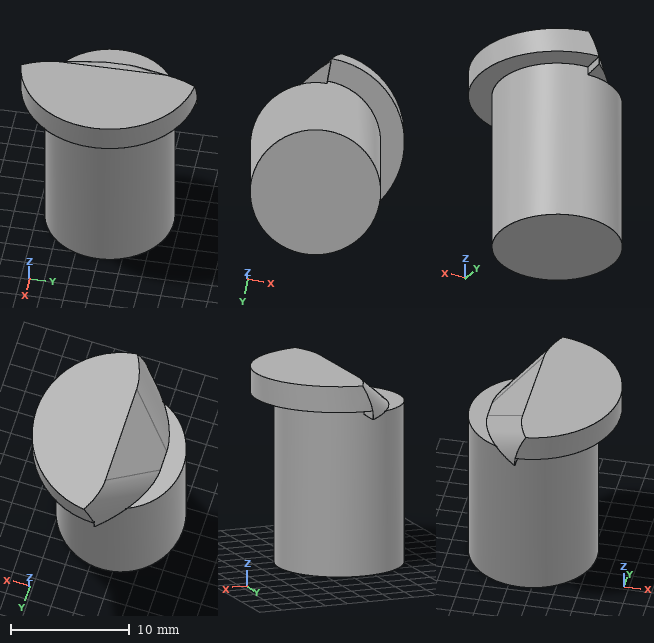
import cadquery as cq
import math

total_height = 17.0
shaft_radius = 5.5
shaft_height = 14.0
head_radius = 7.5
head_thickness = 2.25
nose_reach = 3.75
nose_half_width = 0.88
crest_half_width = 4.37
flank_radius = 4.03
margin = 17.0

head_bottom = total_height - head_thickness
nose_height = total_height - shaft_height
crest = cq.Vector(0, crest_half_width, total_height)
foot = cq.Vector(-nose_reach, nose_half_width, shaft_height)


def make_shaft():
    """Round shaft up to the shoulder, with its +X half carried on up to the head."""
    above_shoulder = (
        cq.Workplane("XY")
        .box(margin, margin, margin, centered=(True, True, False))
        .translate((-margin / 2, 0, shaft_height))
    )
    return cq.Workplane("XY").circle(shaft_radius).extrude(head_bottom).cut(above_shoulder)


def make_head():
    """Round head whose -X half hangs down to the shaft shoulder."""
    below_rim = (
        cq.Workplane("XY")
        .box(margin, margin, margin, centered=(True, True, False))
        .translate((margin / 2, 0, head_bottom - margin))
    )
    return (
        cq.Workplane("XY").workplane(offset=shaft_height)
        .circle(head_radius).extrude(nose_height)
        .cut(below_rim)
    )


def make_flank_trim():
    """Bar along the sloped face's +Y edge: flat top, then a quarter round down its flank."""
    edge = crest - foot
    face_normal = cq.Vector(-nose_height, 0, nose_reach)
    across = face_normal.cross(edge)
    start = foot - edge.normalized() * margin
    section = cq.Plane(origin=start.toTuple(), xDir=across.toTuple(), normal=edge.toTuple())
    diagonal = flank_radius * math.sqrt(0.5)
    return (
        cq.Workplane(section)
        .moveTo(-2 * margin, 0)
        .lineTo(0, 0)
        .threePointArc((diagonal, diagonal - flank_radius), (flank_radius, -flank_radius))
        .lineTo(flank_radius, -2 * margin)
        .lineTo(-2 * margin, -2 * margin)
        .close()
        .extrude(3 * margin)
    )


flank_trim = make_flank_trim()
both_flanks = flank_trim.intersect(flank_trim.mirror("XZ"))
head = make_head().intersect(both_flanks)
result = make_shaft().union(head)